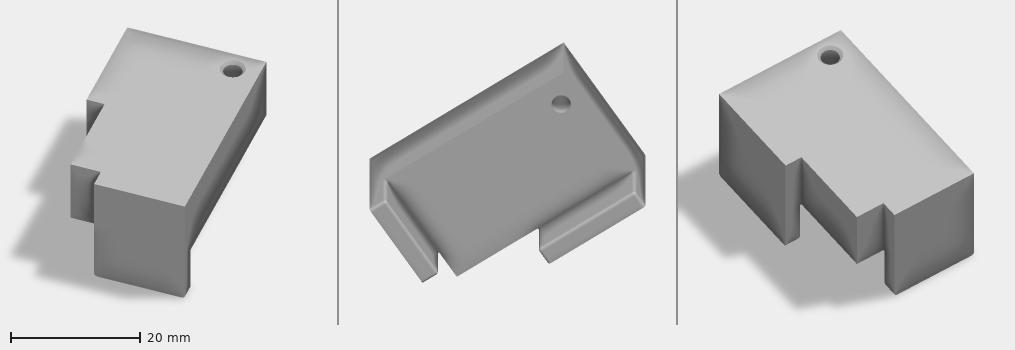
import cadquery as cq

block_length_x = 20.0
block_length_y = 33.0
block_height = 11.0

plate_thickness = 3.0
plate_drop = 8.0
side_plate_length = 18
front_plate_length = 15.0
edge_round = 0.5

hole_diameter = 3.0
countersink_diameter = 4.0
countersink_depth = 0.5
hole_from_right = 4.32
hole_from_back = 3.3


def corner_box(length_x, length_y, height, x, y, z):
    """Box placed by its lowest X, Y and Z corner."""
    return cq.Workplane("XY").box(length_x, length_y, height, centered=False).translate((x, y, z))


def plate(length_x, length_y, x, y, inner_face):
    """Plate whose drop has rounded inner edges and rounded bottom corners."""
    drop = corner_box(length_x, length_y, plate_drop, x, y, -plate_drop)
    end_axis = "Y" if length_y > length_x else "X"
    thickness_axis = "X" if end_axis == "Y" else "Y"
    bottom_corners = drop.faces("<Z").edges(f"|{thickness_axis}")
    inner_edges = drop.faces(inner_face).edges("not(>Z)")
    drop = drop.newObject(bottom_corners.vals() + inner_edges.vals()).fillet(edge_round)
    upper = corner_box(length_x, length_y, block_height, x, y, 0)
    return upper.union(drop)


block = corner_box(block_length_x, block_length_y, block_height, 0, 0, 0)

side_plate = plate(
    plate_thickness, side_plate_length,
    -plate_thickness, block_length_y - side_plate_length, ">X",
)
front_plate = plate(
    front_plate_length, plate_thickness,
    block_length_x - front_plate_length, -plate_thickness, ">Y",
)

hole_x = block_length_x - hole_from_right
hole_y = block_length_y - hole_from_back
hole = cq.Workplane("XY").center(hole_x, hole_y).circle(hole_diameter / 2).extrude(block_height)
countersink = cq.Workplane(
    cq.Solid.makeCone(
        hole_diameter / 2,
        countersink_diameter / 2,
        countersink_depth,
        pnt=cq.Vector(hole_x, hole_y, block_height - countersink_depth),
    )
)

result = block.union(side_plate).union(front_plate).cut(hole).cut(countersink)